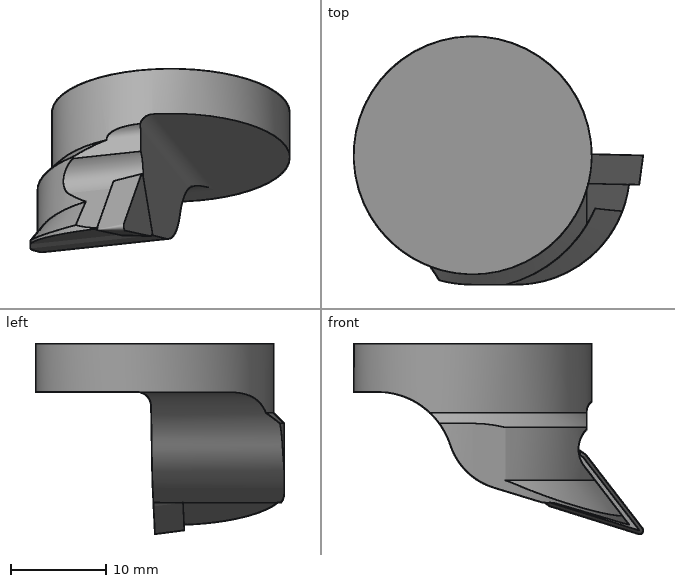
import cadquery as cq
import math


disc_radius = 12.5
disc_thickness = 5.08
flare_top_z = -7.27
neck_radius = 14.0
neck_bottom_z = -14.35
skirt_slope = 1.35
skirt_radius = 18.25
bottom_z = -21.28

wall_radius = 13.6
lip_radius = 12.0
lip_center_x = 4.5

gullet_start_x = -9.97
gullet_radius = 8.0
gullet_angle = math.radians(72)
belly_radius = 7.0
belly_angle = math.radians(17)
step_start_x = 7.3
step_end_x = 8.45
flank_x = 11.98
flank_top_z = -7.15
flank_fillet = 1.4
throat_top = (flank_x, -8.97)
throat_middle = (11.13, -10.8)
throat_bottom = (11.55, -12.65)
head_tip = (16.45, -19.03)

rake_angle = math.radians(0.9)
rake_fillet = 1.4

nose_radius = 0.4
nose_x = 17.5
nose_z = -19.6
insert_length = 9.18
insert_tail = 0.75
insert_depth = 3.1
half_point_angle = math.radians(17.5)
bisector_angle = math.radians(34.9)
clearance_angle = 7.0

room = 36.48


def rake_plane():
    """Plane of the rake face: local x runs back from the nose, local z points out of the face."""
    back = cq.Vector(-math.cos(bisector_angle), 0, math.sin(bisector_angle))
    x_dir = back * math.cos(rake_angle) + cq.Vector(0, math.sin(rake_angle), 0)
    normal = cq.Vector(0, math.cos(rake_angle), 0) - back * math.sin(rake_angle)
    return cq.Plane(origin=(nose_x, 0, nose_z), xDir=x_dir, normal=normal)


def make_turned_blank():
    flare_bottom_z = flare_top_z - (neck_radius - disc_radius)
    skirt_bottom_z = neck_bottom_z - skirt_slope * (skirt_radius - neck_radius)
    return (
        cq.Workplane("XZ")
        .polyline([
            (0, 0),
            (disc_radius, 0),
            (disc_radius, flare_top_z),
            (neck_radius, flare_bottom_z),
            (neck_radius, neck_bottom_z),
            (skirt_radius, skirt_bottom_z),
            (skirt_radius, bottom_z),
            (0, bottom_z),
        ])
        .close()
        .revolve(360, (0, 0), (0, 1))
    )


def make_plan_envelope():
    """Prism of the plan outline: round left wall, flat front, round lip on the right."""
    lip_center_y = lip_radius - wall_radius
    diagonal = math.sqrt(0.5)
    return (
        cq.Workplane("XY")
        .moveTo(-wall_radius, 0)
        .threePointArc((-wall_radius * diagonal, -wall_radius * diagonal), (0, -wall_radius))
        .lineTo(lip_center_x, -wall_radius)
        .threePointArc(
            (lip_center_x + lip_radius * diagonal, lip_center_y - lip_radius * diagonal),
            (lip_center_x + lip_radius, lip_center_y),
        )
        .lineTo(lip_center_x + lip_radius, wall_radius)
        .lineTo(-wall_radius, wall_radius)
        .close()
        .extrude(bottom_z)
    )


def make_side_envelope():
    """Prism of the side outline: gullet and belly arcs, stepped underside, flank and throat."""
    gullet_center_z = -disc_thickness - gullet_radius

    def gullet_point(angle):
        return (
            gullet_start_x + gullet_radius * math.sin(angle),
            gullet_center_z + gullet_radius * math.cos(angle),
        )

    gullet_end = gullet_point(gullet_angle)
    belly_center_x = gullet_end[0] + belly_radius * math.sin(gullet_angle)
    belly_center_z = gullet_end[1] + belly_radius * math.cos(gullet_angle)

    def belly_point(angle):
        return (
            belly_center_x - belly_radius * math.sin(angle),
            belly_center_z - belly_radius * math.cos(angle),
        )

    belly_end = belly_point(belly_angle)
    step_z = belly_end[1] - (step_start_x - belly_end[0]) * math.tan(belly_angle)
    fillet_center_x = flank_x + flank_fillet
    diagonal = flank_fillet * math.sqrt(0.5)
    return (
        cq.Workplane("XZ")
        .moveTo(-room, 0)
        .lineTo(-room, -disc_thickness)
        .lineTo(gullet_start_x, -disc_thickness)
        .threePointArc(gullet_point(gullet_angle / 2), gullet_end)
        .threePointArc(belly_point((gullet_angle + belly_angle) / 2), belly_end)
        .lineTo(step_start_x, step_z)
        .lineTo(step_end_x, step_z)
        .lineTo(*head_tip)
        .lineTo(*throat_bottom)
        .threePointArc(throat_middle, throat_top)
        .lineTo(flank_x, flank_top_z)
        .threePointArc(
            (fillet_center_x - diagonal, flank_top_z + diagonal),
            (fillet_center_x, flank_top_z + flank_fillet),
        )
        .lineTo(room, flank_top_z + flank_fillet)
        .lineTo(room, 0)
        .close()
        .extrude(room, both=True)
    )


def make_rake_clearance():
    """Space in front of the rake face and under the disc, with a rounded inner edge."""
    in_front = cq.Workplane(rake_plane()).rect(2 * room, 2 * room).extrude(room)
    below_disc = (
        cq.Workplane("XY", origin=(0, 0, -disc_thickness)).rect(2 * room, 2 * room).extrude(-room)
    )
    space = in_front.intersect(below_disc)
    inner_edge = cq.selectors.NearestToPointSelector((0, 0, -disc_thickness))
    return space.edges(inner_edge).fillet(rake_fillet)


def make_insert():
    """Pointed cutting tip with a rounded nose, a short parallel tail and relieved sides."""
    tangent_x = -nose_radius * math.sin(half_point_angle)
    tangent_y = nose_radius * math.cos(half_point_angle)
    back_half_width = tangent_y + (insert_length - tangent_x) * math.tan(half_point_angle)
    return (
        cq.Workplane(rake_plane())
        .moveTo(tangent_x, -tangent_y)
        .threePointArc((-nose_radius, 0), (tangent_x, tangent_y))
        .lineTo(insert_length, back_half_width)
        .lineTo(insert_length + insert_tail, back_half_width)
        .lineTo(insert_length + insert_tail, -back_half_width)
        .lineTo(insert_length, -back_half_width)
        .close()
        .extrude(-insert_depth, taper=clearance_angle)
    )


def make_holder(insert):
    return (
        make_turned_blank()
        .intersect(make_plan_envelope())
        .intersect(make_side_envelope())
        .cut(make_rake_clearance())
        .cut(insert)
    )


insert = make_insert()
holder = make_holder(insert)

result = cq.Compound.makeCompound([*holder.solids().vals(), insert.val()])